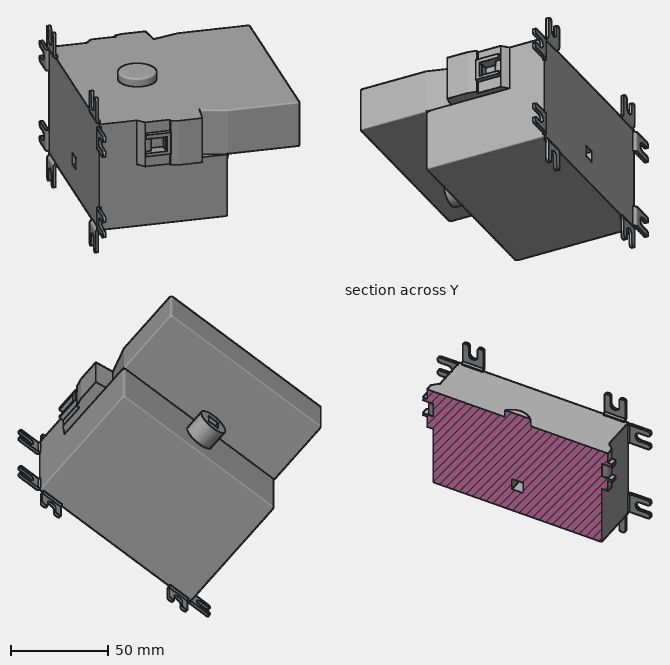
import cadquery as cq


body_width = 100.0
body_height = 60.0
lower_depth = 68.5
upper_depth = 107.0
upper_height = 25.0
upper_base = body_height - upper_height
vertical_edge_radius = 1.4
edge_radius = 0.8
half_body = body_width / 2

waist_width = 92.2
waist_y = 54.5

half_wing = 56.1
wing_back_y = 53.2
wing_slope_start_y = 41.0
wing_slope_end_y = 36.5
wing_slope_drop = 1.0
recess_front_y = 23.5
wing_root_y = 20.0
half_recess = 53.5

rim_height = 12.1
pocket_height = 8.1
rim_centre_z = body_height - 12.2
pocket_centre_z = body_height - 12.5
rim_opening_back_y = 34.5
pocket_back_y = 34.0
pocket_front_y = 27.2
pocket_lip_radius = 1.9

button_diameter = 20.2
button_height = 4.5
button_y = 33.6
button_edge_radius = 1.0
spigot_diameter = 16.0
spigot_length = 11.5
passage_size = 6.3
axis_z = 17.4

overall_width = 126.0
overall_height = 87.1
tab_thickness = 1.5
slot_width = 5.2
tab_tip_radius = 1.5
tab_bend_radius = 1.9
tab_crank_depth = 1.0
upright_tab_width = 12.3
upright_tab_x = 42.0
upright_slot_depth = 8.6
upright_tab_inset = 0.5
side_tab_width = 11.7
side_tab_edge_distance = 7.3
side_slot_depth = 8.8
side_tab_inset = 1.3


def block(x_range, y_range, z_range):
    """Rectangular block between the given limits."""
    size = [limits[1] - limits[0] for limits in (x_range, y_range, z_range)]
    corner = (x_range[0], y_range[0], z_range[0])
    return cq.Workplane("XY").box(*size, centered=False).translate(corner)


def make_lower_box():
    box = block((-half_body, half_body), (0, lower_depth), (0, upper_base))
    box = box.edges("|Z and >Y").fillet(vertical_edge_radius)
    bottom_edges = [edge for edge in box.faces("<Z").edges().vals() if edge.Center().y > edge_radius]
    return box.newObject(bottom_edges).fillet(edge_radius)


def make_upper_block():
    half_waist = waist_width / 2
    prism = (
        cq.Workplane("XY", origin=(0, 0, upper_base))
        .polyline([
            (-half_waist, waist_y),
            (half_waist, waist_y),
            (half_body, lower_depth),
            (half_body, upper_depth),
            (-half_body, upper_depth),
            (-half_body, lower_depth),
        ])
        .close()
        .extrude(upper_height)
    )
    prism = prism.edges("|Z and >Y").fillet(vertical_edge_radius)
    top_edges = [edge for edge in prism.faces(">Z").edges().vals() if edge.Center().y > waist_y + edge_radius]
    overhang_edges = [edge for edge in prism.faces("<Z").edges().vals() if edge.Center().y > lower_depth]
    return prism.newObject(top_edges + overhang_edges).fillet(edge_radius)


def make_wing_section():
    """Front part of the upper block, with the wing outline on both sides."""
    right_side = [
        (half_body, 0),
        (half_body, wing_root_y),
        (half_recess, recess_front_y),
        (half_recess, wing_slope_end_y),
        (half_wing - wing_slope_drop, wing_slope_end_y),
        (half_wing, wing_slope_start_y),
        (half_wing, wing_back_y),
        (waist_width / 2, waist_y),
    ]
    left_side = [(-x, y) for x, y in reversed(right_side)]
    return (
        cq.Workplane("XY", origin=(0, 0, upper_base))
        .polyline(right_side + left_side)
        .close()
        .extrude(upper_height)
    )


def make_rim():
    """Rim of the +X wing, open towards the front."""
    rim_z = (rim_centre_z - rim_height / 2, rim_centre_z + rim_height / 2)
    return block((half_recess, half_wing), (recess_front_y, wing_slope_end_y), rim_z)


def make_pocket():
    """Cutter for the rim opening and the pocket of the +X wing, with a rounded front lip."""
    lip_y = pocket_front_y - pocket_lip_radius
    return (
        cq.Workplane("XY", origin=(0, 0, pocket_centre_z - pocket_height / 2))
        .moveTo(half_wing, recess_front_y)
        .lineTo(half_recess, recess_front_y)
        .lineTo(half_recess, lip_y)
        .radiusArc((half_recess - pocket_lip_radius, pocket_front_y), -pocket_lip_radius)
        .lineTo(half_body, pocket_front_y)
        .lineTo(half_body, pocket_back_y)
        .lineTo(half_recess, pocket_back_y)
        .lineTo(half_recess, rim_opening_back_y)
        .lineTo(half_wing, rim_opening_back_y)
        .close()
        .extrude(pocket_height)
    )


def make_button():
    return (
        cq.Workplane("XY", origin=(0, button_y, body_height))
        .circle(button_diameter / 2)
        .extrude(button_height)
        .faces(">Z")
        .edges()
        .fillet(button_edge_radius)
    )


def make_spigot():
    return (
        cq.Workplane("XZ", origin=(0, lower_depth, axis_z))
        .circle(spigot_diameter / 2)
        .extrude(-spigot_length)
    )


def make_passage():
    """Square passage from the mounting face out through the spigot."""
    half_size = passage_size / 2
    return block(
        (-half_size, half_size),
        (0, lower_depth + spigot_length),
        (axis_z - half_size, axis_z + half_size),
    )


def make_tab(width, reach, slot_depth, inset):
    """Mounting tab pointing along +X, with the housing wall at X = 0.

    A 45 degree crank joins the flat plate to the corner of the housing.
    """
    inner_bend_x = tab_thickness * 2**0.5 - inset
    plate = (
        cq.Workplane("XY", origin=(0, 0, -width / 2))
        .polyline([
            (-inset, 0),
            (tab_thickness - inset, -tab_thickness),
            (reach, -tab_thickness),
            (reach, 0),
            (inner_bend_x, 0),
            (inner_bend_x - tab_crank_depth, tab_crank_depth),
            (-inset, tab_crank_depth),
        ])
        .close()
        .extrude(width)
    )
    bend = cq.selectors.NearestToPointSelector((tab_thickness - inset, -tab_thickness, 0))
    plate = plate.edges(bend).fillet(tab_bend_radius)

    slot_radius = slot_width / 2
    slot_end_x = reach - slot_depth + slot_radius
    slot = block((slot_end_x, reach), (-tab_thickness, 0), (-slot_radius, slot_radius))
    slot_end = cq.Workplane("XZ", origin=(slot_end_x, 0, 0)).circle(slot_radius).extrude(tab_thickness)
    plate = plate.cut(slot).cut(slot_end)
    return plate.faces(">X").edges("|Y").fillet(tab_tip_radius)


def mirrored_pair(shape, plane):
    return shape, shape.mirror(plane)


def make_tabs():
    """Two tabs on each of the four sides of the mounting face."""
    middle_z = body_height / 2
    side_tab = make_tab(side_tab_width, (overall_width - body_width) / 2, side_slot_depth, side_tab_inset)
    side_tab = side_tab.translate((half_body, 0, middle_z - side_tab_edge_distance))
    upright_tab = make_tab(
        upright_tab_width, (overall_height - body_height) / 2, upright_slot_depth, upright_tab_inset
    )
    upright_tab = upright_tab.rotate((0, 0, 0), (0, 1, 0), -90).translate((upright_tab_x, 0, middle_z))
    tabs = []
    for tab in (side_tab, upright_tab):
        for right_tab in mirrored_pair(tab, "XY"):
            tabs.extend(mirrored_pair(right_tab, "YZ"))
    return [tab.translate((0, 0, middle_z)) for tab in tabs]


result = make_lower_box().union(make_upper_block()).union(make_wing_section())
for rim in mirrored_pair(make_rim(), "YZ"):
    result = result.union(rim)
for pocket in mirrored_pair(make_pocket(), "YZ"):
    result = result.cut(pocket)
result = result.union(make_button()).union(make_spigot()).cut(make_passage())
for tab in make_tabs():
    result = result.union(tab)